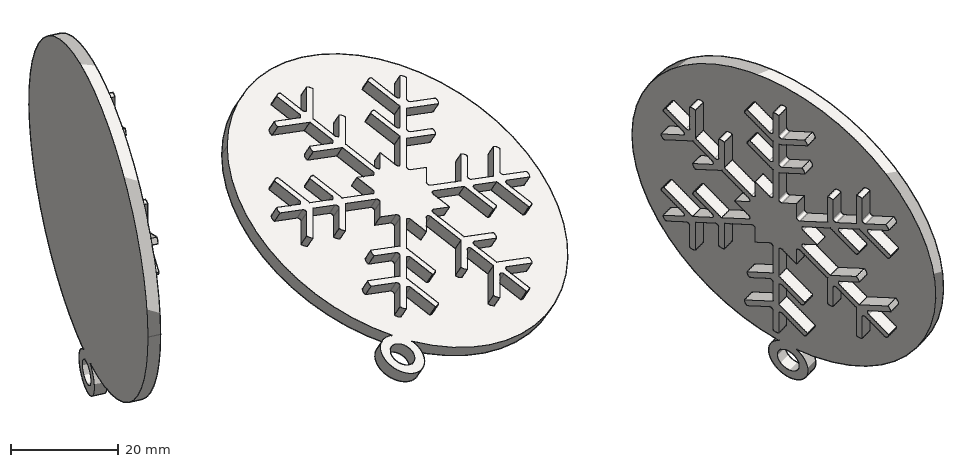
import cadquery as cq
import math

disc_diameter = 69.9
plate_thickness = 2.5
overall_height = 78.5
loop_outer_diameter = 9.1
loop_hole_diameter = 5.0
loop_x = -1.0
loop_z = disc_diameter / 2 - overall_height + loop_outer_diameter / 2

relief_height = 2.5
arm_count = 6
arm_length = 29.75
bar_width = 1.3
tip_bulge = 0.15
branch_angle = 60.0
branches = [(22.1, 8.2), (14.45, 7.45)]
core_valley_radius = 5.5
core_point_radius = core_valley_radius * math.sqrt(3)
crotch_radius = 0.55
arm_angles = [i * 360 / arm_count for i in range(arm_count)]


def on_back_face():
    """Workplane on the +Y face of the plate: local x is -X, local y is +Z."""
    return cq.Workplane("XZ", origin=(0, plate_thickness, 0)).transformed(rotate=(0, 180, 0))


def make_plate():
    disc = cq.Workplane("XZ").circle(disc_diameter / 2).extrude(-plate_thickness)
    loop = cq.Workplane("XZ").center(loop_x, loop_z).circle(loop_outer_diameter / 2).extrude(-plate_thickness)
    hole = cq.Workplane("XZ").center(loop_x, loop_z).circle(loop_hole_diameter / 2).extrude(-plate_thickness)
    return disc.union(loop).cut(hole)


def make_bar(length):
    """Bar with a slightly domed tip, running from the disc axis along +Z."""
    half_width = bar_width / 2
    shoulder = length - tip_bulge
    outline = on_back_face().moveTo(-half_width, 0).lineTo(half_width, 0).lineTo(half_width, shoulder)
    outline = outline.threePointArc((0, length), (-half_width, shoulder)).close()
    return outline.extrude(relief_height)


def turn(body, angle):
    return body.rotate((0, 0, 0), (0, 1, 0), angle)


def make_arm():
    arm = make_bar(arm_length)
    for root, length in branches:
        for side in (-1, 1):
            branch = turn(make_bar(length), side * branch_angle)
            arm = arm.union(branch.translate((0, 0, root)))
    return arm


def make_core():
    """Six-pointed star whose points lie midway between the arms."""
    points = []
    for i in range(2 * arm_count):
        radius = core_point_radius if i % 2 else core_valley_radius
        angle = math.radians(i * 180 / arm_count)
        points.append((radius * math.sin(angle), radius * math.cos(angle)))
    return on_back_face().polyline(points).close().extrude(relief_height)


def round_crotches(flake):
    """Round the corners where outward-facing branch and core sides meet the arms."""
    slope = math.radians(branch_angle)
    side_rise = bar_width / 2 / math.tan(slope)
    outer_roots = [root + bar_width / 2 / math.sin(slope) for root, _ in branches]
    outer_roots.append(core_valley_radius)
    corners = cq.Workplane()
    for arm_angle in arm_angles:
        turn_angle = math.radians(arm_angle)
        for root in outer_roots:
            for side in (-1, 1):
                across = side * bar_width / 2
                along = root + side_rise
                x = across * math.cos(turn_angle) + along * math.sin(turn_angle)
                z = along * math.cos(turn_angle) - across * math.sin(turn_angle)
                corner = (x, plate_thickness + relief_height / 2, z)
                corners.add(flake.edges("|Y").edges(cq.NearestToPointSelector(corner)))
    return flake.newObject(corners.vals()).fillet(crotch_radius)


def make_snowflake():
    arm = make_arm()
    flake = make_core()
    for arm_angle in arm_angles:
        flake = flake.union(turn(arm, arm_angle))
    return round_crotches(flake)


result = make_plate().union(make_snowflake())